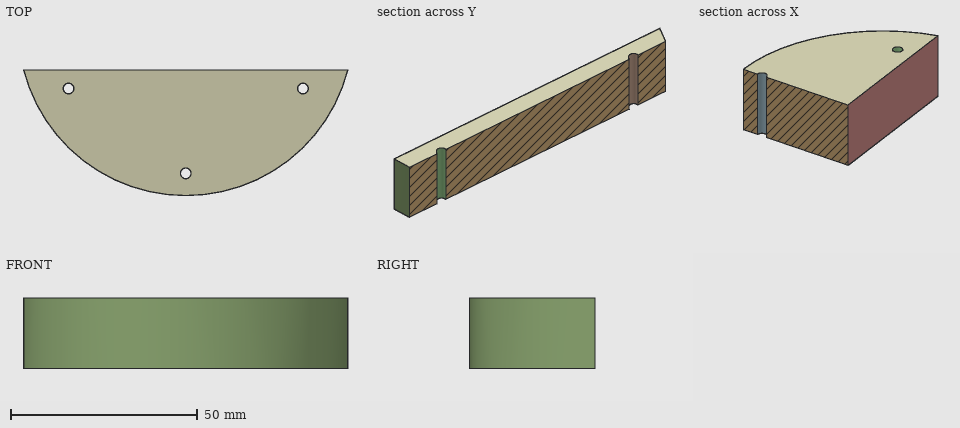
import cadquery as cq
import math

disc_radius = 45.0
flat_offset = 11.2
thickness = 19.0

hole_diameter = 2.8
side_hole_spacing = 63.0
side_hole_inset = 5.0
rim_hole_inset = 6.0

flat_y = -flat_offset
half_chord = math.sqrt(disc_radius**2 - flat_offset**2)

side_hole_y = flat_y - side_hole_inset
hole_centers = [
    (-side_hole_spacing / 2, side_hole_y),
    (side_hole_spacing / 2, side_hole_y),
    (0, -disc_radius + rim_hole_inset),
]


def segment_body():
    """Solid bounded by the flat side and the arc of the rim."""
    return (
        cq.Workplane("XY")
        .moveTo(-half_chord, flat_y)
        .threePointArc((0, -disc_radius), (half_chord, flat_y))
        .close()
        .extrude(thickness)
    )


def hole_cutters():
    """Cylinders that run through the full thickness."""
    return (
        cq.Workplane("XY")
        .pushPoints(hole_centers)
        .circle(hole_diameter / 2)
        .extrude(thickness)
    )


result = segment_body().cut(hole_cutters())